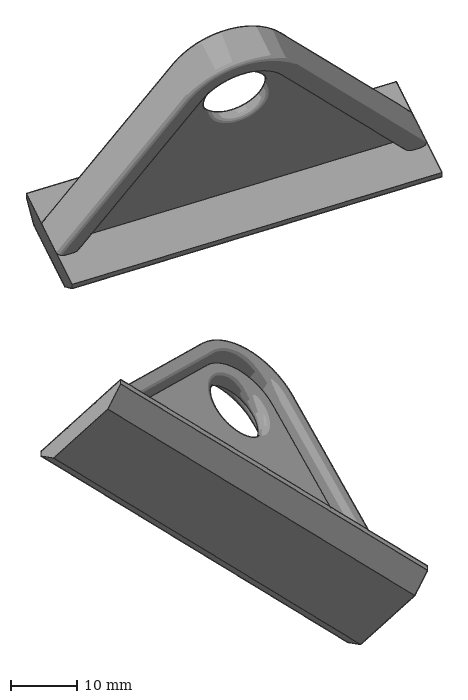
import cadquery as cq
import math

length = 60.0
base_width = 19.0
base_height = 4.1
base_edge_height = 1.0
bottom_width = base_width - 2 * (base_height - base_edge_height)

total_height = 36.95
plate_width = 7.7
top_radius = 11.0
rim_thickness = 3.0
web_thickness = 2.7
edge_radius = 1.0
hole_radius = 5.2

hole_height = total_height - top_radius


def make_base():
    half_top = base_width / 2
    half_bottom = bottom_width / 2
    edge_bottom = base_height - base_edge_height
    return (
        cq.Workplane("XZ")
        .polyline([
            (-half_bottom, 0),
            (half_bottom, 0),
            (half_top, edge_bottom),
            (half_top, base_height),
            (-half_top, base_height),
            (-half_top, edge_bottom),
        ])
        .close()
        .extrude(length / 2, both=True)
    )


center_rise = hole_height - base_height
corner_distance = math.hypot(length / 2, center_rise)
side_angle = math.acos(top_radius / corner_distance) - math.atan2(center_rise, length / 2)


def rounded_triangle(inset, width):
    """Plate outline moved inward by inset, extruded evenly about X = 0."""
    radius = top_radius - inset
    tangent_y = radius * math.cos(side_angle)
    tangent_z = hole_height + radius * math.sin(side_angle)
    foot_y = length / 2 - inset / math.cos(side_angle)
    return (
        cq.Workplane("YZ")
        .moveTo(-foot_y, base_height)
        .lineTo(foot_y, base_height)
        .lineTo(tangent_y, tangent_z)
        .threePointArc((0, hole_height + radius), (-tangent_y, tangent_z))
        .close()
        .extrude(width / 2, both=True)
    )


def make_pocket(side):
    """Recess on one face, reaching down to the web."""
    depth = (plate_width - web_thickness) / 2
    center_x = side * (web_thickness + depth) / 2
    return rounded_triangle(rim_thickness, depth).translate((center_x, 0, 0))


def make_plate():
    plate = rounded_triangle(0, plate_width)
    for side in (-1, 1):
        plate = plate.cut(make_pocket(side))
    return plate.faces("<X or >X").edges("not <Z").fillet(edge_radius)


def make_hole():
    """Through hole with a rounded mouth on each face of the web."""
    half_web = web_thickness / 2
    mouth_radius = hole_radius + edge_radius
    arc_x = half_web - edge_radius
    mid = edge_radius * math.sqrt(0.5)
    return (
        cq.Workplane("XY")
        .moveTo(-half_web, 0)
        .lineTo(-half_web, mouth_radius)
        .threePointArc((-arc_x - mid, mouth_radius - mid), (-arc_x, hole_radius))
        .lineTo(arc_x, hole_radius)
        .threePointArc((arc_x + mid, mouth_radius - mid), (half_web, mouth_radius))
        .lineTo(half_web, 0)
        .close()
        .revolve(360, (0, 0, 0), (1, 0, 0))
        .translate((0, 0, hole_height))
    )


result = make_base().union(make_plate()).cut(make_hole())